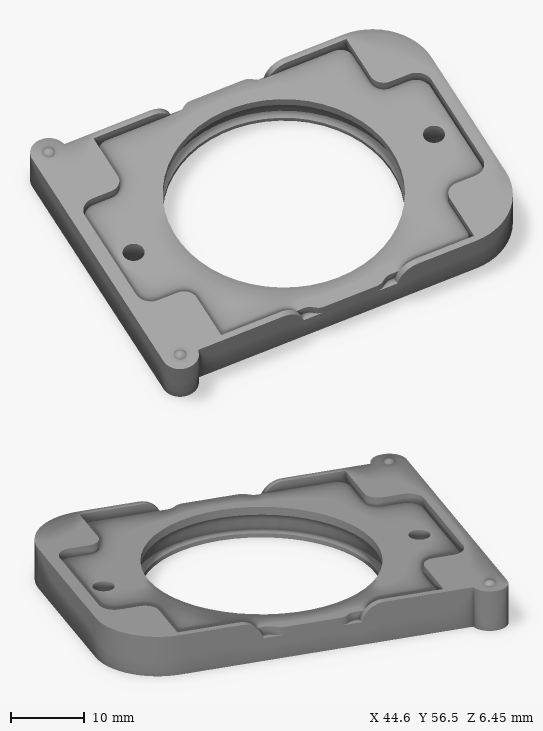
import cadquery as cq
import math

LENGTH = 56.45
FRAME_WIDTH = 40.3
FRAME_HEIGHT = 6.0
FAR_CORNER_RADIUS = 9.0

EARS_WIDTH = 44.6
EAR_LENGTH = 5.1
EAR_RADIUS = 2.5
EAR_Y = (EAR_LENGTH - LENGTH) / 2
DOME_SPACING = EARS_WIDTH - 2 * EAR_RADIUS
DOME_DIAMETER = 1.75
DOME_HEIGHT = 0.45

PLATE_COUNT = 2
STACK_HEIGHT = 1.2
PLATE_THICKNESS = STACK_HEIGHT / PLATE_COUNT
POCKET_FLOOR = 3.45

CENTRE_Y = 0.08
POCKET_WIDTH = 38.5
POCKET_WING_LENGTH = 38.5
POCKET_LENGTH = 52.7
POCKET_NECK_WIDTH = 19.85
SIDE_CLEARANCE = 0.1
END_CLEARANCE = 0.15
NECK_CLEARANCE = 0.05
PLATE_WIDTH = POCKET_WIDTH - 2 * SIDE_CLEARANCE
PLATE_WING_LENGTH = POCKET_WING_LENGTH
PLATE_LENGTH = POCKET_LENGTH - 2 * END_CLEARANCE
PLATE_NECK_WIDTH = POCKET_NECK_WIDTH - 2 * NECK_CLEARANCE
OUTLINE_RADIUS = 2.0
NECK_CORNER_RADIUS = 2.25

TAB_MID_LENGTH = 10.6
TAB_BLEND_RADIUS = 2.0

NOTCH_TOP_LENGTH = 20.65
NOTCH_RADIUS = 3.3

WINDOW_DIAMETER = 32.9
BORE_DIAMETER = 35.4
LEDGE_THICKNESS = 0.6
HOLE_DIAMETER = 3.0
HOLE_SPACING = 45.7


def cross_prism(width, wing_length, length, neck_width, height):
    """Wide block with a narrower neck at each Y end and rounded inside and neck corners."""
    wings = cq.Workplane("XY").rect(width, wing_length).extrude(height)
    neck = cq.Workplane("XY").rect(neck_width, length).extrude(height)
    neck = neck.edges("|Z").fillet(NECK_CORNER_RADIUS)
    cross = wings.union(neck)
    selection_margin = OUTLINE_RADIUS / 10
    half_x = neck_width / 2 + selection_margin
    half_y = wing_length / 2 + selection_margin
    inside_corners = cq.selectors.BoxSelector((-half_x, -half_y, 0), (half_x, half_y, height))
    return cross.edges("|Z").edges(inside_corners).fillet(OUTLINE_RADIUS)


def hole_cutters(diameter, height):
    """The two small round holes, one in each neck."""
    return cq.Workplane("XY").rarray(0.55, HOLE_SPACING, 1, 2).circle(diameter / 2).extrude(height)


def frame_blank():
    """Slab with two rounded far corners, closed at the near edge by a strip with round ears."""
    body_length = LENGTH / 2 - EAR_Y
    blank = cq.Workplane("XY").rect(FRAME_WIDTH, body_length).extrude(FRAME_HEIGHT)
    blank = blank.edges("|Z and >Y").fillet(FAR_CORNER_RADIUS).translate((0, (LENGTH - body_length) / 2, 0))
    ears = cq.Workplane("XY").center(0, EAR_Y).rect(EARS_WIDTH, EAR_LENGTH).extrude(FRAME_HEIGHT)
    ears = ears.edges("|Z").fillet(EAR_RADIUS)
    return blank.union(ears)


def dome(x):
    """Spherical cap with its rim on an ear's top face, on a round root sunk into the ear."""
    rim_radius = DOME_DIAMETER / 2
    sphere_radius = (rim_radius**2 + DOME_HEIGHT**2) / (2 * DOME_HEIGHT)
    root_bottom = FRAME_HEIGHT / 2
    profile = (
        cq.Workplane("XZ")
        .moveTo(0, root_bottom)
        .lineTo(rim_radius, root_bottom)
        .lineTo(rim_radius, FRAME_HEIGHT)
        .radiusArc((0, FRAME_HEIGHT + DOME_HEIGHT), -sphere_radius)
        .close()
    )
    return profile.revolve(360, (0, 0, 0), (0, 1, 0)).translate((x, EAR_Y, 0))


def notch_cutter():
    """Opening through both side walls, down to the pocket floor, with convex round ends."""
    depth = FRAME_HEIGHT - POCKET_FLOOR
    end_run = math.sqrt(NOTCH_RADIUS**2 - (NOTCH_RADIUS - depth) ** 2)
    half_top = NOTCH_TOP_LENGTH / 2
    half_floor = half_top - end_run
    return (
        cq.Workplane("YZ")
        .moveTo(-half_top, FRAME_HEIGHT)
        .radiusArc((-half_floor, POCKET_FLOOR), NOTCH_RADIUS)
        .lineTo(half_floor, POCKET_FLOOR)
        .radiusArc((half_top, FRAME_HEIGHT), NOTCH_RADIUS)
        .close()
        .extrude(FRAME_WIDTH / 2, both=True)
    )


def make_frame():
    pocket = cross_prism(
        POCKET_WIDTH, POCKET_WING_LENGTH, POCKET_LENGTH, POCKET_NECK_WIDTH, FRAME_HEIGHT - POCKET_FLOOR
    ).translate((0, 0, POCKET_FLOOR))
    window = cq.Workplane("XY").circle(WINDOW_DIAMETER / 2).extrude(FRAME_HEIGHT)
    bore = cq.Workplane("XY", origin=(0, 0, LEDGE_THICKNESS)).circle(BORE_DIAMETER / 2).extrude(FRAME_HEIGHT)
    frame = frame_blank()
    for cutter in (pocket, notch_cutter(), window, bore, hole_cutters(HOLE_DIAMETER, FRAME_HEIGHT)):
        frame = frame.cut(cutter.translate((0, CENTRE_Y, 0)))
    for side in (-1, 1):
        frame = frame.union(dome(side * DOME_SPACING / 2))
    return frame


def grip_tab(side):
    """Tab on one side of a plate, blended into the plate's edge by an S of two equal arcs."""
    inner = PLATE_WIDTH / 2
    outer = FRAME_WIDTH / 2
    middle = (inner + outer) / 2
    root = inner - TAB_BLEND_RADIUS
    half_step = (outer - inner) / 2
    arc_run = math.sqrt(TAB_BLEND_RADIUS**2 - (TAB_BLEND_RADIUS - half_step) ** 2)
    half_mid = TAB_MID_LENGTH / 2
    half_end = half_mid + arc_run
    half_flat = half_mid - arc_run
    tab = (
        cq.Workplane("XY")
        .moveTo(inner, -half_end)
        .radiusArc((middle, -half_mid), TAB_BLEND_RADIUS)
        .radiusArc((outer, -half_flat), -TAB_BLEND_RADIUS)
        .lineTo(outer, half_flat)
        .radiusArc((middle, half_mid), -TAB_BLEND_RADIUS)
        .radiusArc((inner, half_end), TAB_BLEND_RADIUS)
        .lineTo(root, half_end)
        .lineTo(root, -half_end)
        .close()
        .extrude(PLATE_THICKNESS)
    )
    return tab if side > 0 else tab.mirror("YZ")


def make_plate(level):
    """Plate number `level` of the stack, counted upwards from the pocket floor."""
    plate = cross_prism(PLATE_WIDTH, PLATE_WING_LENGTH, PLATE_LENGTH, PLATE_NECK_WIDTH, PLATE_THICKNESS)
    plate = plate.edges("|Z and (<X or >X)").fillet(OUTLINE_RADIUS)
    for side in (-1, 1):
        plate = plate.union(grip_tab(side))
    window = cq.Workplane("XY").circle(WINDOW_DIAMETER / 2).extrude(PLATE_THICKNESS)
    plate = plate.cut(window).cut(hole_cutters(HOLE_DIAMETER, PLATE_THICKNESS))
    return plate.translate((0, CENTRE_Y, POCKET_FLOOR + level * PLATE_THICKNESS))


frame = make_frame()
plates = [make_plate(level) for level in range(PLATE_COUNT)]

result = cq.Compound.makeCompound([frame.val(), *(plate.val() for plate in plates)])